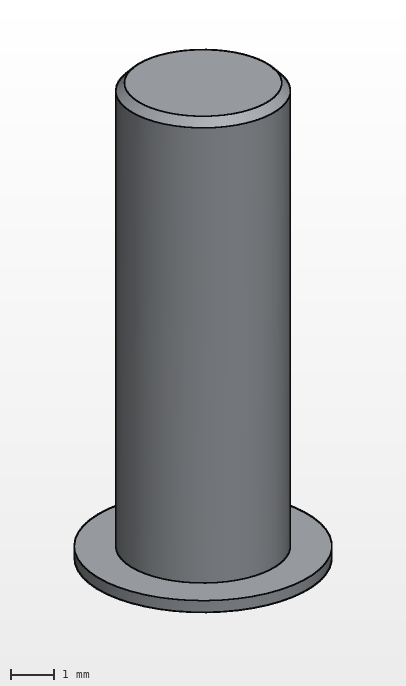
import cadquery as cq

overall_height = 12.0
pin_diameter = 4.0
flange_diameter = 5.9
flange_thickness = 0.3
tip_chamfer = 0.2


def make_flange():
    """Thin round flange at the base of the pin, resting on Z = 0."""
    return cq.Workplane("XY").circle(flange_diameter / 2).extrude(flange_thickness)


def make_pin():
    """Solid cylindrical pin along Z with a chamfered tip."""
    pin = cq.Workplane("XY").circle(pin_diameter / 2).extrude(overall_height)
    return pin.faces(">Z").chamfer(tip_chamfer)


result = make_flange().union(make_pin())